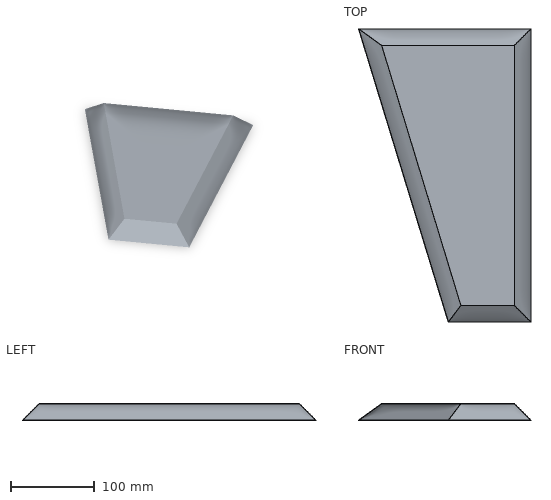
import cadquery as cq

width = 205.8
length = 350.0
height = 20.0
bevel = height
front_left_x = 107.0
top_back_left_x = 27.5
top_front_left_x = 122.0

base_corners = [
    (front_left_x, 0, 0),
    (width, 0, 0),
    (width, length, 0),
    (0, length, 0),
]
top_corners = [
    (top_front_left_x, bevel, height),
    (width - bevel, bevel, height),
    (width - bevel, length - bevel, height),
    (top_back_left_x, length - bevel, height),
]


def closed_wire(corners):
    return cq.Wire.makePolygon([cq.Vector(*corner) for corner in corners], close=True)


plate = cq.Solid.makeLoft([closed_wire(base_corners), closed_wire(top_corners)], True)
result = cq.Workplane("XY").newObject([plate])